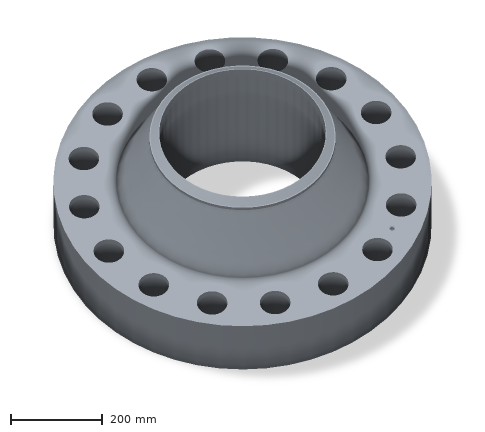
import cadquery as cq

flange_diameter = 825.5
flange_thickness = 146.05

bolt_count = 16
bolt_circle_diameter = 704.85
bolt_hole_diameter = 66.675

overall_height = 311.15
hub_base_diameter = 552.45
hub_base_fillet = 3.5
neck_diameter = 406.4
bore_diameter = 363.52
bevel_height = 12.5
bevel_shoulder_width = 2.5
root_face_width = 1.6
neck_land_length = 8.0

small_hole_mouth_diameter = 13.0
small_hole_diameter = 8.0
small_hole_depth = 5.0
small_hole_angle = 360.0 / bolt_count / 2


def flange_body():
    """Flange ring, conical hub and bevelled weld end as one revolved solid."""
    bore_radius = bore_diameter / 2
    flange_radius = flange_diameter / 2
    hub_base_radius = hub_base_diameter / 2
    neck_radius = neck_diameter / 2
    bevel_base_height = overall_height - bevel_height
    profile = (
        cq.Workplane("XZ")
        .moveTo(bore_radius, 0)
        .lineTo(flange_radius, 0)
        .lineTo(flange_radius, flange_thickness)
        .lineTo(hub_base_radius, flange_thickness)
        .lineTo(neck_radius, bevel_base_height - neck_land_length)
        .lineTo(neck_radius, bevel_base_height)
        .lineTo(neck_radius - bevel_shoulder_width, bevel_base_height)
        .lineTo(bore_radius + root_face_width, overall_height)
        .lineTo(bore_radius, overall_height)
        .close()
    )
    body = profile.revolve(360, (0, 0, 0), (0, 1, 0))

    box_reach = (hub_base_radius + flange_radius) / 2
    box_half_height = 1.0
    hub_base_edge = cq.selectors.BoxSelector(
        (-box_reach, -box_reach, flange_thickness - box_half_height),
        (box_reach, box_reach, flange_thickness + box_half_height),
        boundingbox=True,
    )
    return body.edges(hub_base_edge).fillet(hub_base_fillet)


def bolt_holes():
    """Through holes evenly spaced on the bolt circle."""
    return (
        cq.Workplane("XY")
        .polarArray(bolt_circle_diameter / 2, 0, 360, bolt_count)
        .circle(bolt_hole_diameter / 2)
        .extrude(flange_thickness)
    )


def small_blind_hole():
    """Countersunk blind hole on the bolt circle, sunk into the flange's upper face."""
    mouth_radius = small_hole_mouth_diameter / 2
    hole_radius = small_hole_diameter / 2
    countersink_depth = mouth_radius - hole_radius
    cutter = (
        cq.Workplane("XZ")
        .lineTo(mouth_radius, 0)
        .lineTo(hole_radius, -countersink_depth)
        .lineTo(hole_radius, -small_hole_depth)
        .lineTo(0, -small_hole_depth)
        .close()
        .revolve(360, (0, 0, 0), (0, 1, 0))
    )
    placed = cutter.translate((bolt_circle_diameter / 2, 0, flange_thickness))
    return placed.rotate((0, 0, 0), (0, 0, 1), small_hole_angle)


result = flange_body().cut(bolt_holes()).cut(small_blind_hole())